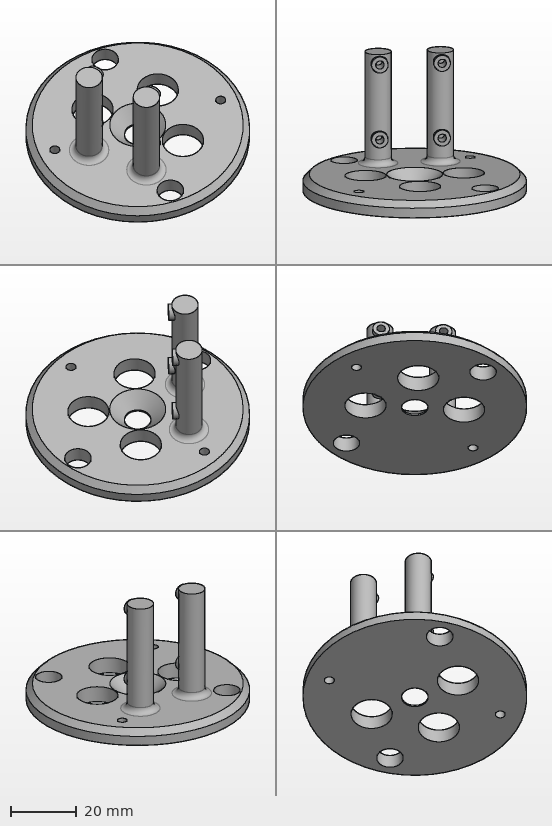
import cadquery as cq
import math

disc_diameter = 68.0
disc_thickness = 5.0
rim_chamfer = 2.0

centre_hole_diameter = 8.0
countersink_diameter = 17.0
countersink_angle = 90.0
side_hole_diameter = 8.0
side_hole_radius = 27.5
small_hole_diameter = 3.0
small_hole_radius = 27.0
large_hole_diameter = 12.5
large_hole_offset = 10.6

total_height = 40.0
post_diameter = 8.0
post_foot_fillet = 2.0
post_half_spacing = 6.7
post_centres = [
    (large_hole_offset + side * post_half_spacing, -large_hole_offset + side * post_half_spacing)
    for side in (-1, 1)
]

nozzle_diameter = 5.0
nozzle_bore_diameter = 2.5
nozzle_projection = 1.0
nozzle_reach = post_diameter / 2 + nozzle_projection
upper_nozzle_height = 37.0
nozzle_spacing = 23.45
nozzle_heights = [upper_nozzle_height - nozzle_spacing, upper_nozzle_height]
nozzle_direction = cq.Vector(-math.sqrt(0.5), math.sqrt(0.5), 0)


def make_disc():
    """Disc with a chamfered upper rim and all its through holes."""
    disc = cq.Workplane("XY").circle(disc_diameter / 2).extrude(disc_thickness)
    disc = disc.faces(">Z").chamfer(rim_chamfer)
    top = disc.faces(">Z").workplane(origin=(0, 0, disc_thickness)).tag("top")
    disc = top.cskHole(centre_hole_diameter, countersink_diameter, countersink_angle)

    side_points = [(-side_hole_radius, 0), (side_hole_radius, 0)]
    small_points = [(0, -small_hole_radius), (0, small_hole_radius)]
    large_points = [
        (-large_hole_offset, -large_hole_offset),
        (-large_hole_offset, large_hole_offset),
        (large_hole_offset, large_hole_offset),
    ]
    hole_groups = [
        (side_hole_diameter, side_points),
        (small_hole_diameter, small_points),
        (large_hole_diameter, large_points),
    ]
    for diameter, points in hole_groups:
        disc = disc.workplaneFromTagged("top").pushPoints(points).hole(diameter)
    return disc


def make_post():
    """Post on the Z axis, with a concave flared foot."""
    post_radius = post_diameter / 2
    foot_radius = post_radius + post_foot_fillet
    foot_top = disc_thickness + post_foot_fillet
    arc_inset = post_foot_fillet * (1 - math.sqrt(0.5))
    return (
        cq.Workplane("XZ")
        .moveTo(0, disc_thickness)
        .lineTo(foot_radius, disc_thickness)
        .threePointArc((post_radius + arc_inset, disc_thickness + arc_inset), (post_radius, foot_top))
        .lineTo(post_radius, total_height)
        .lineTo(0, total_height)
        .close()
        .revolve(360, (0, 0, 0), (0, 1, 0))
    )


def nozzle_cylinder(diameter, height):
    """Cylinder from the post axis to the nozzle mouth."""
    start = cq.Vector(0, 0, height)
    return cq.Workplane(cq.Solid.makeCylinder(diameter / 2, nozzle_reach, start, nozzle_direction))


def make_nozzle_post():
    """Post with its nozzles, each bored as far as the post axis."""
    post = make_post()
    for height in nozzle_heights:
        post = post.union(nozzle_cylinder(nozzle_diameter, height))
        post = post.cut(nozzle_cylinder(nozzle_bore_diameter, height))
    return post


result = make_disc()
nozzle_post = make_nozzle_post()
for x, y in post_centres:
    result = result.union(nozzle_post.translate((x, y, 0)))